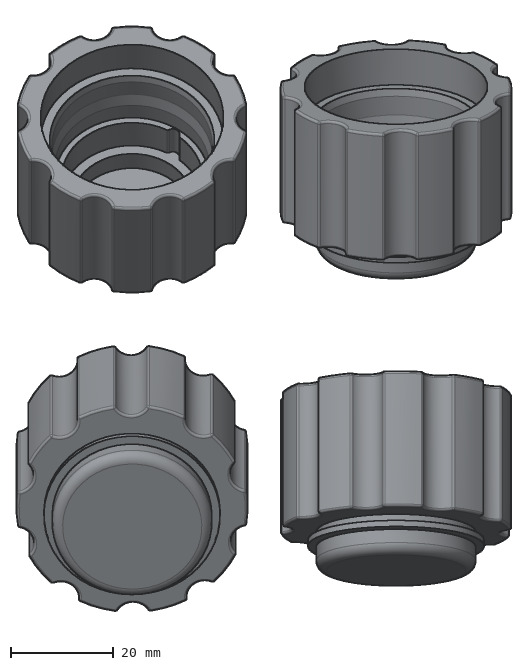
import cadquery as cq

total_height = 34.6
grip_height = 27.0
grip_radius = 44.9 / 2
edge_round = 0.5
scallop_count = 10
scallop_radius = 3.5
scallop_center_radius = 23.75

spigot_radius = 31.0 / 2
spigot_round = 2.0
ring_radius = 34.2 / 2
ring_thickness = 1.2
groove_radius = 29.2 / 2
groove_width = 1.4
groove_top = 6.0

mouth_radius = 35.5 / 2
mouth_depth = 7.6
lead_in_radius = 32.0 / 2
upper_bore_radius = 31.2 / 2
upper_bore_start_depth = 9.0
upper_bore_end_depth = 13.0
lower_bore_radius = 30.0 / 2
lower_bore_start_depth = 15.7
lower_bore_depth = 19.7

cavity_radius = 27.5 / 2
cavity_floor = total_height - grip_height
recess_radius = 23.5 / 2
recess_floor = 3.0
key_radius = 1.3
key_center_radius = 13.5
key_round = 0.5


def disc(radius, bottom, top):
    """Solid cylinder on the Z axis between two heights."""
    return cq.Workplane("XY").workplane(offset=bottom).circle(radius).extrude(top - bottom)


def make_grip():
    """Scalloped grip with all its edges rounded."""
    bottom = total_height - grip_height
    scallops = (
        cq.Workplane("XY")
        .workplane(offset=bottom)
        .polarArray(scallop_center_radius, 0, 360, scallop_count)
        .circle(scallop_radius)
        .extrude(grip_height)
    )
    grip = disc(grip_radius, bottom, total_height).cut(scallops)
    return grip.edges().fillet(edge_round)


def make_spigot():
    """Spigot with a rounded lower edge, a groove and the ring seated in it."""
    spigot = disc(spigot_radius, 0, total_height - grip_height)
    spigot = spigot.faces("<Z").edges().fillet(spigot_round)
    groove_bottom = groove_top - groove_width
    groove_floor = disc(groove_radius, groove_bottom, groove_top)
    groove = disc(ring_radius, groove_bottom, groove_top).cut(groove_floor)
    ring = disc(ring_radius, groove_top - ring_thickness, groove_top)
    return spigot.cut(groove).union(ring)


def make_bore():
    """Revolved stepped and tapered bore, down to the ledge above the cavity."""
    profile = [
        (0, 0),
        (mouth_radius, 0),
        (mouth_radius, mouth_depth),
        (lead_in_radius, mouth_depth),
        (upper_bore_radius, upper_bore_start_depth),
        (upper_bore_radius, upper_bore_end_depth),
        (lower_bore_radius, lower_bore_start_depth),
        (lower_bore_radius, lower_bore_depth),
        (0, lower_bore_depth),
    ]
    points = [(radius, total_height - depth) for radius, depth in profile]
    return cq.Workplane("XZ").polyline(points).close().revolve(360, (0, 0), (0, 1))


def make_cavity():
    """Cavity with a rounded key notch in its +Y wall and a deep recess in its floor."""
    ledge = total_height - lower_bore_depth
    key = disc(key_radius, cavity_floor, ledge).translate((0, key_center_radius, 0))
    cavity = disc(cavity_radius, cavity_floor, ledge).union(key)
    corner_region = cq.selectors.BoxSelector(
        (-2 * key_radius, key_center_radius - key_radius, cavity_floor),
        (2 * key_radius, cavity_radius, ledge),
    )
    cavity = cavity.edges("|Z").edges(corner_region).fillet(key_round)
    return cavity.union(disc(recess_radius, recess_floor, cavity_floor))


result = make_grip().union(make_spigot()).cut(make_bore()).cut(make_cavity())